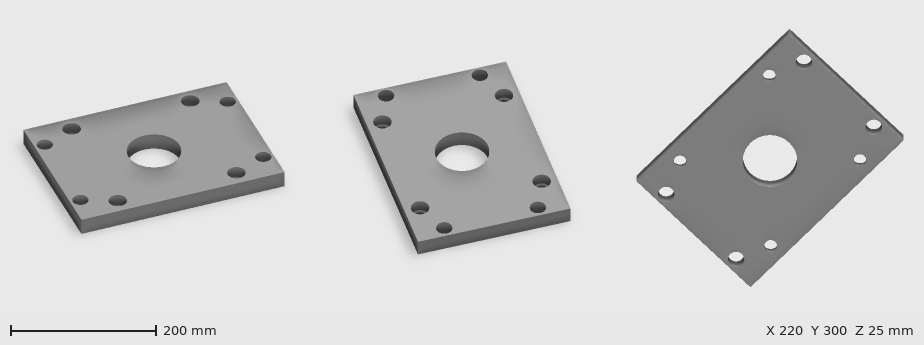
import cadquery as cq

width = 220.0
length = 300.0
thickness = 25.0
edge_chamfer = 0.3

bore_diameter = 75.0

end_hole_diameter = 22.5
end_hole_spacing_x = 135.0
end_hole_spacing_y = 270.0

screw_hole_spacing = 175.2
screw_hole_diameter = 17.5
counterbore_diameter = 25.5
counterbore_depth = 17.0


def top_face_pattern(body, spacing_x, spacing_y):
    """Select the four corners of a centred rectangle on the top face."""
    top = body.faces(">Z").workplane(origin=(0, 0, 0))
    return top.rect(spacing_x, spacing_y, forConstruction=True).vertices()


plate = cq.Workplane("XY").box(width, length, thickness)
plate = plate.faces(">Z").workplane(origin=(0, 0, 0)).hole(bore_diameter)
plate = plate.faces("<Z or >Z").edges().chamfer(edge_chamfer)
plate = top_face_pattern(plate, end_hole_spacing_x, end_hole_spacing_y).hole(end_hole_diameter)
plate = top_face_pattern(plate, screw_hole_spacing, screw_hole_spacing).cboreHole(
    screw_hole_diameter, counterbore_diameter, counterbore_depth
)

result = plate